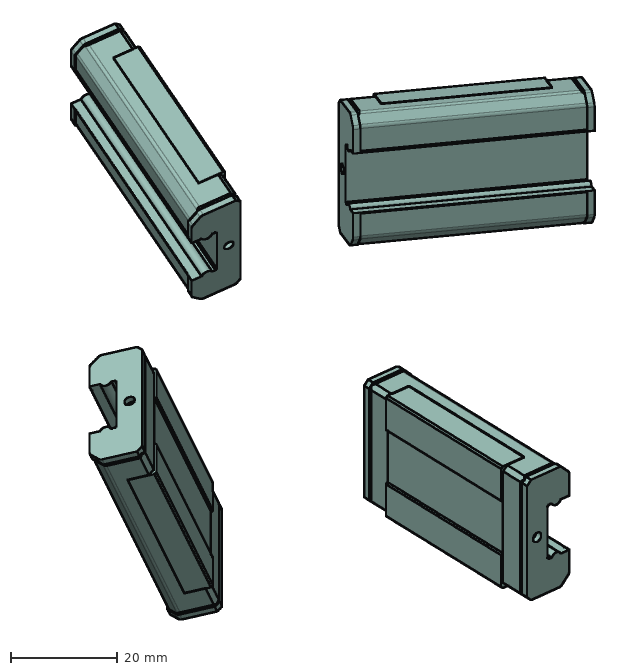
import cadquery as cq

length = 47.1
cap_thickness = 1.45
depth = 10.5
half_width = 13.36

front_chamfer = 2.13
front_fillet = 1.0
back_bevel = 1.0

slot_half_width = 6.0
slot_floor = 5.4
slot_corner = 0.3
bead_half_width = 1.16
bead_flank = 0.15
bead_position = 3.26
bead_height = 0.74

body_setback = 0.25
lip_height = 0.32
end_chamfer = 0.55

plate_length = 33.3
plate_half_width = 13.5
plate_front = 5.3
plate_back = 11.0
plate_chamfer = 0.4
groove_floor = 10.65
groove_half_width = 6.03

hole_diameter = 2.0
hole_position = 8.0

body_length = length - 2 * cap_thickness


def extrude_along_x(points, x_start, extent):
    """Extrude a closed outline of (y, z) points along +X from x_start."""
    return cq.Workplane("YZ", origin=(x_start, 0, 0)).polyline(points).close().extrude(extent)


def mirrored(solid):
    """Join a solid with its mirror image about the plane Z = 0."""
    return solid.union(solid.mirror("XY"))


def outer_block(front, x_start, extent):
    """Solid section with rounded front chamfers and bevelled back corners."""
    upper = [
        (front, half_width - front_chamfer),
        (front + front_chamfer, half_width),
        (depth - back_bevel, half_width),
        (depth, half_width - back_bevel),
    ]
    lower = [(y, -z) for y, z in reversed(upper)]
    block = extrude_along_x(upper + lower, x_start, extent)
    for side in (1, -1):
        for y, z in upper[:2]:
            corner = cq.selectors.NearestToPointSelector((x_start + extent / 2, y, side * z))
            block = block.edges("|X").edges(corner).fillet(front_fillet)
    return block


def end_chamfered_body():
    """Central body, with the ends of its sides and back chamfered."""
    body = outer_block(body_setback, -body_length / 2, body_length)
    half = body_length / 2
    for end in (1, -1):
        side_cut = (
            cq.Workplane("XZ", origin=(0, depth, 0))
            .polyline([
                (end * half, half_width - end_chamfer),
                (end * half, half_width),
                (end * (half - end_chamfer), half_width),
            ])
            .close()
            .extrude(depth)
        )
        back_cut = (
            cq.Workplane("XY", origin=(0, 0, -half_width))
            .polyline([
                (end * half, depth - end_chamfer),
                (end * half, depth),
                (end * (half - end_chamfer), depth),
            ])
            .close()
            .extrude(2 * half_width)
        )
        body = body.cut(mirrored(side_cut)).cut(back_cut)
    lip = extrude_along_x(
        [
            (0, slot_half_width),
            (body_setback, slot_half_width + lip_height),
            (body_setback, slot_half_width),
        ],
        -half,
        body_length,
    )
    return body.union(mirrored(lip))


def cover_plate():
    """Plate with chamfered back corners and a shallow groove along its back."""
    groove_depth = plate_back - groove_floor
    upper = [
        (plate_front, plate_half_width),
        (plate_back - plate_chamfer, plate_half_width),
        (plate_back, plate_half_width - plate_chamfer),
        (plate_back, groove_half_width),
        (groove_floor, groove_half_width - groove_depth),
    ]
    lower = [(y, -z) for y, z in reversed(upper)]
    return extrude_along_x(upper + lower, -plate_length / 2, plate_length)


def rail_slot():
    """Full-length slot, less the rounded bead with 45-degree flanks on each wall."""
    upper = [
        (0, slot_half_width),
        (slot_floor - slot_corner, slot_half_width),
        (slot_floor, slot_half_width - slot_corner),
    ]
    lower = [(y, -z) for y, z in reversed(upper)]
    slot = extrude_along_x(upper + lower, -length / 2, length)
    bead_tip = slot_half_width - bead_height
    arc_half_width = bead_half_width - bead_flank
    arc_start = slot_half_width - bead_flank
    bead = (
        cq.Workplane("YZ", origin=(-length / 2, 0, 0))
        .moveTo(bead_position - bead_half_width, slot_half_width)
        .lineTo(bead_position - arc_half_width, arc_start)
        .threePointArc((bead_position, bead_tip), (bead_position + arc_half_width, arc_start))
        .lineTo(bead_position + bead_half_width, slot_half_width)
        .close()
        .extrude(length)
    )
    return slot.cut(mirrored(bead))


def grease_hole(x_start):
    """Round cutter one cap thickness long."""
    return (
        cq.Workplane("YZ", origin=(x_start, 0, 0))
        .center(hole_position, 0)
        .circle(hole_diameter / 2)
        .extrude(cap_thickness)
    )


cap_starts = (-length / 2, body_length / 2)

carriage = end_chamfered_body().union(cover_plate())
for cap_start in cap_starts:
    carriage = carriage.union(outer_block(0, cap_start, cap_thickness))
carriage = carriage.cut(rail_slot())
for cap_start in cap_starts:
    carriage = carriage.cut(grease_hole(cap_start))

result = carriage